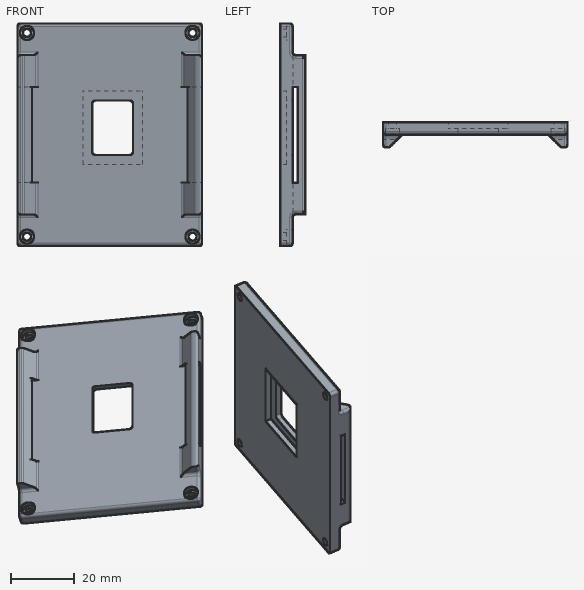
import cadquery as cq

plate_width = 58.0
plate_height = 70.0
plate_thickness = 4.0
edge_radius = 1.0

rail_length = 50.0
rail_projection = 4.0
rail_tip_width = 2.0
rail_base_width = rail_tip_width + rail_projection

slot_length = 30.0
slot_depth = 1.5

window_width = 12.75
window_height = 17.0
window_center_x = 0.9
window_center_z = 2.2
window_corner_radius = 1.0

window_wall_thickness = 2.0
recess_depth = plate_thickness - window_wall_thickness
recess_margin = 3.0

hole_inset = 3.0
hole_diameter = 2.5
counterbore_diameter = 4.4
counterbore_depth = 2.0

half_width = plate_width / 2
half_height = plate_height / 2
half_rail = rail_length / 2
plate_front = -plate_thickness
rail_front = plate_front - rail_projection
tolerance = 0.01


def make_plate():
    """Rectangular plate with its four corners rounded."""
    plate = cq.Workplane("XY").box(
        plate_width, plate_thickness, plate_height, centered=(True, False, True)
    )
    return plate.translate((0, plate_front, 0)).edges("|Y").fillet(edge_radius)


def make_rail(side):
    """Rail with a 45 degree inner face; side is -1 for the -X edge and +1 for the +X edge."""
    profile = [
        (side * half_width, 0),
        (side * half_width, rail_front),
        (side * (half_width - rail_tip_width), rail_front),
        (side * (half_width - rail_base_width), plate_front),
        (side * (half_width - rail_base_width), 0),
    ]
    return (
        cq.Workplane("XY")
        .workplane(offset=-half_rail)
        .polyline(profile)
        .close()
        .extrude(rail_length)
    )


def edges_within(body, x_range, y, z_limit):
    """Edges that lie at the given Y, inside the given X range and between Z = -z_limit and +z_limit."""
    selector = cq.selectors.BoxSelector(
        (min(x_range) - tolerance, y - tolerance, -z_limit - tolerance),
        (max(x_range) + tolerance, y + tolerance, z_limit + tolerance),
        boundingbox=True,
    )
    return body.edges(selector)


def rail_tip_edge(body, x):
    """Long edge of a rail's tip at the given X."""
    return edges_within(body, (x, x), rail_front, half_rail)


def round_rail_bases(body):
    """Blend the inner faces and the ends of both rails into the plate."""
    for side in (-1, 1):
        x_range = (side * half_width, side * (half_width - rail_base_width))
        body = edges_within(body, x_range, plate_front, half_rail).fillet(edge_radius)
    return body


def round_inner_tip_edges(body):
    """Round the edge between the tip and the sloping face of each rail."""
    for side in (-1, 1):
        tip_x = side * (half_width - rail_tip_width)
        body = rail_tip_edge(body, tip_x).fillet(edge_radius)
    return body


def round_front_rim(body):
    """Round the front edges around the plate and along the outer edges of the rail tips."""
    rim = []
    for side in (-1, 1):
        plate_edge_center = (0, plate_front, side * half_height)
        plate_edge = body.edges(cq.selectors.NearestToPointSelector(plate_edge_center))
        tip_edge = rail_tip_edge(body, side * half_width)
        rim += plate_edge.vals() + tip_edge.vals()
    return body.newObject(rim).fillet(edge_radius)


def cut_slot(body):
    """Cut the slot through both rails along X."""
    slot = cq.Workplane("XY").box(
        plate_width, slot_depth, slot_length, centered=(True, False, True)
    )
    return body.cut(slot.translate((0, plate_front - slot_depth, 0)))


def cut_window(body):
    """Cut the rounded window through the plate and the shallow recess around it in the back."""
    window = cq.Workplane("XY").box(window_width, 2 * plate_thickness, window_height)
    window = window.edges("|Y").fillet(window_corner_radius)
    recess = cq.Workplane("XY").box(
        window_width + 2 * recess_margin, 2 * recess_depth, window_height + 2 * recess_margin
    )
    opening = window.union(recess)
    return body.cut(opening.translate((window_center_x, 0, window_center_z)))


def cut_screw_holes(body):
    """Cut a hole in each corner, counterbored from the front."""
    hole_span_x = plate_width - 2 * hole_inset
    hole_span_z = plate_height - 2 * hole_inset
    return (
        body.copyWorkplane(cq.Workplane("XZ", origin=(0, plate_front, 0)))
        .rect(hole_span_x, hole_span_z, forConstruction=True)
        .vertices()
        .cboreHole(hole_diameter, counterbore_diameter, counterbore_depth)
    )


result = make_plate().union(make_rail(-1)).union(make_rail(1))
result = round_rail_bases(result)
result = round_front_rim(result)
result = round_inner_tip_edges(result)
result = cut_slot(result)
result = cut_window(result)
result = cut_screw_holes(result)